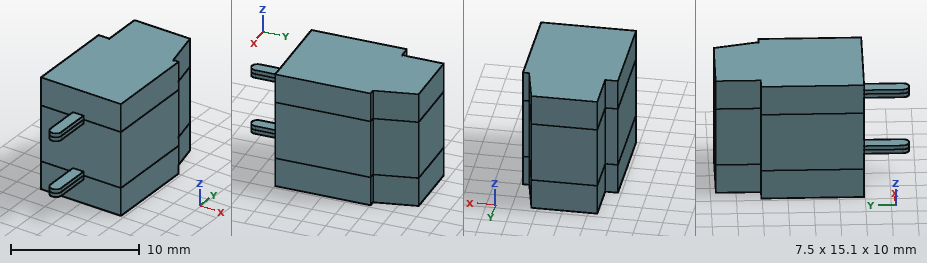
import cadquery as cq


pitch = 5.0
end_thickness = pitch / 2
lower_joint_z = end_thickness
upper_joint_z = lower_joint_z + pitch

base_width = 7.5
base_depth = 8.0
neck_depth = 3.5
neck_left = 1.0
neck_right_step = 0.5
neck_right_taper = 0.8

pin_width = 1.0
pin_thickness = 0.7
pin_length = 3.6
pin_center_x = 3.5
half_pin_thickness = pin_thickness / 2


def housing_slice(bottom_z, thickness):
    """Stepped housing outline, extruded upward from bottom_z."""
    neck_foot_right = base_width - neck_right_step
    neck_top_y = base_depth + neck_depth
    outline = [
        (0, 0),
        (base_width, 0),
        (base_width, base_depth),
        (neck_foot_right, base_depth),
        (neck_foot_right - neck_right_taper, neck_top_y),
        (neck_left, neck_top_y),
        (neck_left, base_depth),
        (0, base_depth),
    ]
    return cq.Workplane("XY").workplane(offset=bottom_z).polyline(outline).close().extrude(thickness)


def half_pin(bottom_z):
    """Half-thickness pin with a round tip, pointing toward -Y from the housing face."""
    radius = pin_width / 2
    left = pin_center_x - radius
    right = pin_center_x + radius
    tip_arc_y = radius - pin_length
    return (
        cq.Workplane("XY")
        .workplane(offset=bottom_z)
        .moveTo(left, 0)
        .lineTo(left, tip_arc_y)
        .threePointArc((pin_center_x, -pin_length), (right, tip_arc_y))
        .lineTo(right, 0)
        .close()
        .extrude(half_pin_thickness)
    )


def half_pin_above(joint_z):
    return half_pin(joint_z)


def half_pin_below(joint_z):
    return half_pin(joint_z - half_pin_thickness)


lower_end = housing_slice(0, end_thickness).union(half_pin_below(lower_joint_z))

middle = (
    housing_slice(lower_joint_z, pitch)
    .union(half_pin_above(lower_joint_z))
    .union(half_pin_below(upper_joint_z))
)

upper_end = housing_slice(upper_joint_z, end_thickness).union(half_pin_above(upper_joint_z))

result = cq.Compound.makeCompound([
    lower_end.solids().val(),
    middle.solids().val(),
    upper_end.solids().val(),
])